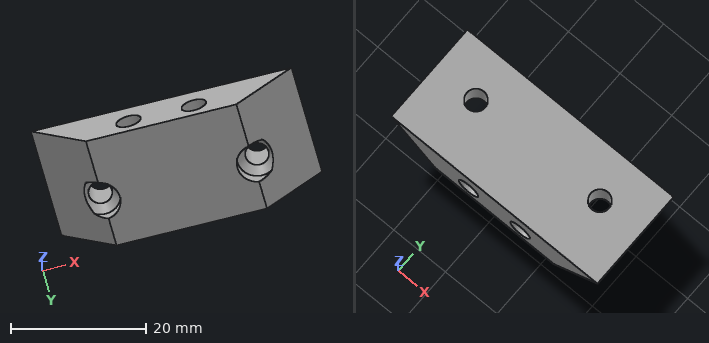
import cadquery as cq

length = 40.0
width = 17.5
height = 8.5
bottom_length = length - 2 * height

cross_hole_diameter = 3.75
cross_hole_spacing = 10.0
cross_hole_depth_below_top = 5.0

screw_hole_diameter = 3.5
screw_hole_spacing = 24.0
screw_hole_y = 1.25
counterbore_diameter = 6.0
counterbore_depth = 2.1
countersink_depth = (counterbore_diameter - screw_hole_diameter) / 2


def make_block():
    """Trapezoidal prism centred in X and Y, standing on Z = 0."""
    outline = [
        (-bottom_length / 2, 0),
        (bottom_length / 2, 0),
        (length / 2, height),
        (-length / 2, height),
    ]
    return cq.Workplane("XZ").polyline(outline).close().extrude(width / 2, both=True)


def make_cross_hole(x):
    """Cylinder along Y through the full width."""
    z = height - cross_hole_depth_below_top
    return cq.Workplane("XZ").center(x, z).circle(cross_hole_diameter / 2).extrude(width, both=True)


def make_screw_hole(x):
    """Through cylinder along Z, widened by a 45 degree cone to a counterbore at the bottom."""
    base = cq.Workplane("XY").center(x, screw_hole_y)
    shank = base.circle(screw_hole_diameter / 2).extrude(height)
    head_blank = base.circle(counterbore_diameter / 2).extrude(counterbore_depth + countersink_depth)
    screw_head = head_blank.faces(">Z").chamfer(countersink_depth)
    return shank.union(screw_head)


result = make_block()
for side in (-1, 1):
    result = result.cut(make_cross_hole(side * cross_hole_spacing / 2))
    result = result.cut(make_screw_hole(side * screw_hole_spacing / 2))